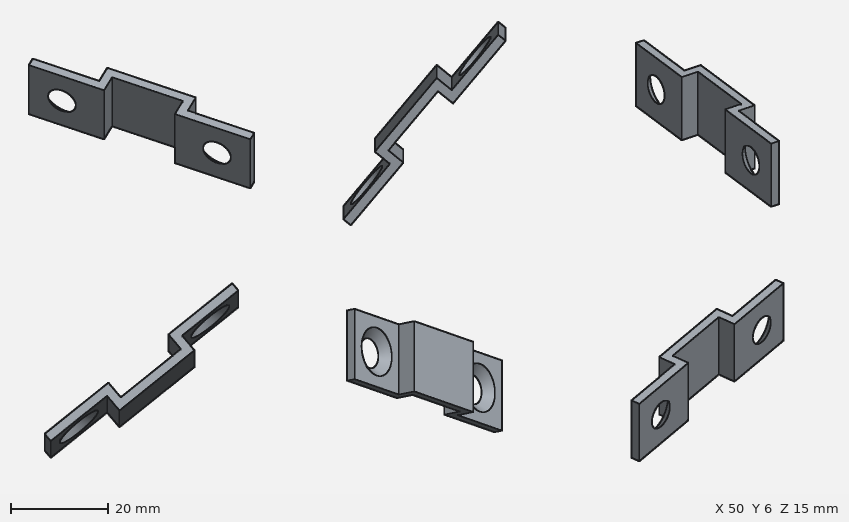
import cadquery as cq

length = 50.0
height = 15.0
depth = 6.0
thickness = 2.0

bridge_width = 20.0
hole_diameter = 6.2
flare_angle = 45.0
hole_spacing = 35.0

half_length = length / 2
half_bridge = bridge_width / 2
half_channel = half_bridge - thickness

right_half = [
    (half_channel, depth - thickness),
    (half_channel, 0),
    (half_length, 0),
    (half_length, thickness),
    (half_bridge, thickness),
    (half_bridge, depth),
]
left_half = [(-x, y) for x, y in reversed(right_half)]
strip = cq.Workplane("XY").polyline(right_half + left_half).close().extrude(height)

hole_centres = [(side * hole_spacing / 2, height / 2) for side in (-1, 1)]
holes = (
    cq.Workplane("XZ")
    .pushPoints(hole_centres)
    .circle(hole_diameter / 2)
    .extrude(-thickness, taper=-flare_angle)
)

result = strip.cut(holes)